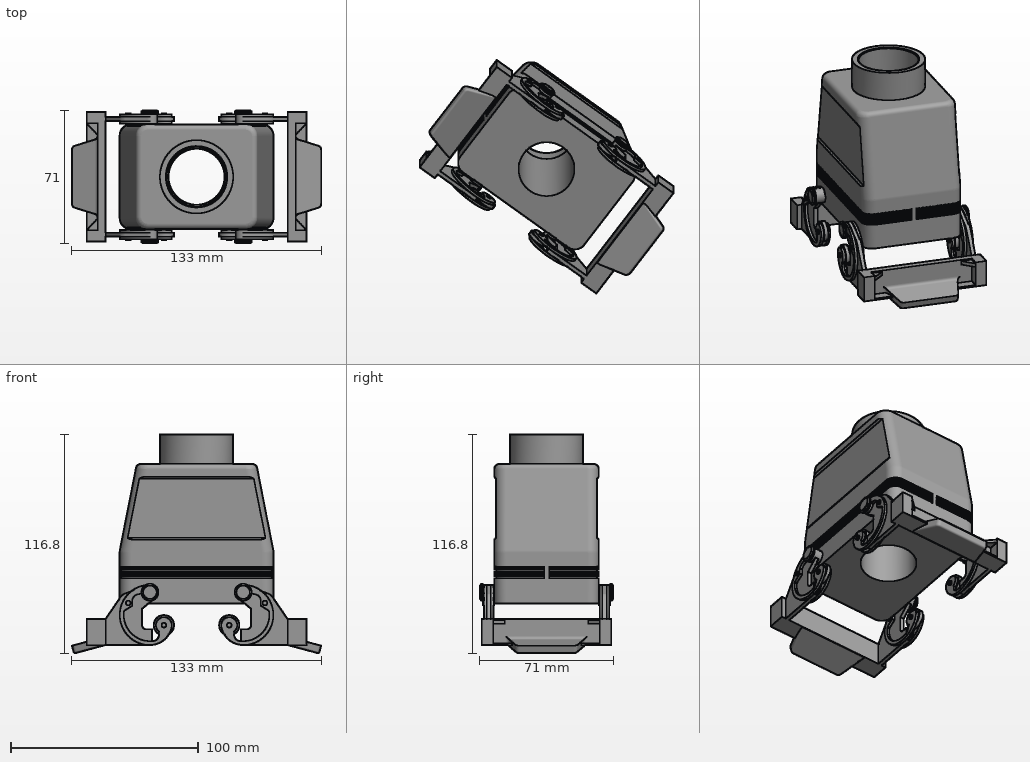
import cadquery as cq
import math


HOOD_HALF_X = 41.1
HOOD_HALF_Y = 28.0
HOOD_TOP_HALF_X = 32.0
HOOD_TOP_Z = 74.7
BEND_Z = 28.0
BEND_RADIUS = 5.6
CORNER_RADIUS = 6.1
TOP_FILLET = 2.9

PANEL_DEPTH = 0.9
PANEL_BOTTOM_Z = 34.2
PANEL_TOP_Z = 67.9
PANEL_BOTTOM_SLOPE = 0.9
PANEL_TOP_SLOPE = 1.2

GROOVE_COUNT = 4
GROOVE_PITCH = 1.7
GROOVE_WIDTH = 0.9
GROOVE_DEPTH = 1.0
LOWEST_GROOVE_Z = 13.7
GROOVE_BREAK_WIDTH = 2.7

COLLAR_TOP_Z = 90.4
COLLAR_RADIUS = 19.5
COLLAR_BORE_RADIUS = 16.0
COLLAR_BORE_CHAMFER = 0.47
BORE_RADIUS = 14.9
SEAT_Z = 75.8
SEAT_HEIGHT = 2.0

ARM_Y = 30.9
PLATE_THICKNESS = 2.3
CLIP_THICKNESS = 1.5
SMALL_PIN_LENGTH = 6.1
SMALL_PIN_RADIUS = 1.26

PIVOT_X = -24.9
PIVOT_Z = 6.1
PIVOT_RADIUS = 2.7
PIVOT_END_RADIUS = 4.0
PIVOT_SINK = 1.3
HEAD_RADIUS = 4.5
HEAD_FACE_RADIUS = 3.6
HEAD_BEVEL = 0.7
HEAD_BOTTOM_Y = 34.0
HEAD_TOP_Y = 35.5

PLATE_SINK = 1.3
SHOULDER_START = (-40.6, 3.6)
SHOULDER_MIDDLE = (-39.7, 4.5)
SHOULDER_END = (-38.5, 5.3)
CREST = (-26.6, 9.7)
NOTCH_MOUTH = (-22.4, 2.8)
NOTCH_X = -29.0
NOTCH_TOP_Z = -2.7
NOTCH_FLOOR_Z = -13.6
NOTCH_FILLET = 2.1
HEEL_X = -23.7
HEEL_LIFT = 0.3

LEVER_BOTTOM_Z = -22.1
CLIP_RADIUS = (PIVOT_Z + PIVOT_END_RADIUS - LEVER_BOTTOM_Z) / 2
CLIP_Z = LEVER_BOTTOM_Z + CLIP_RADIUS
CLIP_WIDTH = 2.1
HOOK_X = -17.4
HOOK_Z = -11.5
HOOK_RADIUS = 4.3
ROLLER_RADIUS = 5.5
THROAT_X = -23.4
THROAT_Z = -16.5
THROAT_RADIUS = 3.3
THROAT_END_ANGLE = math.radians(20)
LUG_X = -36.5
LUG_Z = 0.4
LUG_ARC_START = (-30.6, 5.2)
LUG_ARC_MIDDLE = (-33.1, 4.1)
LUG_EDGE_X = -34.2
LUG_EDGE_TOP_Z = 2.5
LUG_EDGE_BOTTOM_Z = -1.0
LUG_ROOT = (-38.5, -3.7)

BAR_OUTER_X = -58.7
BAR_INNER_X = -48.6
BAR_TOP_Z = -8.1
BAR_HALF_Y = 34.6
POCKET_DEPTH = 5.9
POCKET_WALL_X = BAR_OUTER_X + POCKET_DEPTH
POCKET_HALF_Y = 28.5
POCKET_FLOOR = 0.9
GUSSET_LEG_Y = 6.1
GUSSET_DROP = 0.7
GUSSET_THICKNESS = 2.0

TAB_TIP_X = -66.5
TAB_TIP_Z = -22.4
TAB_TILT = 15
TAB_THICKNESS = 4.4
TAB_LENGTH = 17.2
TAB_TIP_HALF_Y = 16.1
TAB_TAPER = 0.3
TAB_ROOT_HALF_Y = TAB_TIP_HALF_Y + TAB_TAPER * TAB_LENGTH
TAB_CORNER_RADIUS = 2.3
TAB_EDGE_FILLET = 1.0
TAB_ROOT_FILLET = 1.9

PICK_MARGIN = 0.1


def slab(outline, y_centre, thickness):
    """Extrude an XZ outline evenly about the given Y."""
    return outline.extrude(thickness).translate((0, y_centre + thickness / 2, 0))


def disc(x, z, radius, y_centre, thickness):
    return slab(cq.Workplane("XZ").center(x, z).circle(radius), y_centre, thickness)


def polar(x, z, radius, angle):
    return (x + radius * math.cos(angle), z + radius * math.sin(angle))


def both_ends(half):
    return half.union(half.mirror("YZ"))


def both_sides(half):
    return half.union(half.mirror("XZ"))


def hood_block():
    outline = (
        cq.Workplane("XZ")
        .moveTo(-HOOD_HALF_X, 0)
        .lineTo(-HOOD_HALF_X, BEND_Z)
        .lineTo(-HOOD_TOP_HALF_X, HOOD_TOP_Z)
        .lineTo(HOOD_TOP_HALF_X, HOOD_TOP_Z)
        .lineTo(HOOD_HALF_X, BEND_Z)
        .lineTo(HOOD_HALF_X, 0)
        .close()
    )
    block = slab(outline, 0, 2 * HOOD_HALF_Y)
    bend_edges = cq.selectors.BoxSelector(
        (-HOOD_HALF_X - PICK_MARGIN, -PICK_MARGIN, BEND_Z - PICK_MARGIN),
        (HOOD_HALF_X + PICK_MARGIN, PICK_MARGIN, BEND_Z + PICK_MARGIN),
    )
    block = block.edges("|Y").edges(bend_edges).fillet(BEND_RADIUS)
    block = block.faces("<Y or >Y").edges("not #Z").fillet(CORNER_RADIUS)
    return block.faces(">Z").edges().fillet(TOP_FILLET)


def side_panel():
    floor_y = HOOD_HALF_Y - PANEL_DEPTH
    return (
        cq.Workplane("YZ")
        .moveTo(HOOD_HALF_Y, PANEL_BOTTOM_Z)
        .lineTo(floor_y, PANEL_BOTTOM_Z + PANEL_BOTTOM_SLOPE)
        .lineTo(floor_y, PANEL_TOP_Z - PANEL_TOP_SLOPE)
        .lineTo(HOOD_HALF_Y, PANEL_TOP_Z)
        .close()
        .extrude(HOOD_HALF_X, both=True)
    )


def grip_groove(z):
    core = (
        cq.Workplane("XY", origin=(0, 0, z))
        .rect(2 * (HOOD_HALF_X - GROOVE_DEPTH), 2 * (HOOD_HALF_Y - GROOVE_DEPTH))
        .extrude(GROOVE_WIDTH)
        .edges("|Z")
        .fillet(CORNER_RADIUS - GROOVE_DEPTH)
    )
    end_break = (
        cq.Workplane("XY", origin=(0, 0, z))
        .rect(2 * HOOD_HALF_X, GROOVE_BREAK_WIDTH)
        .extrude(GROOVE_WIDTH)
    )
    ring = cq.Workplane("XY", origin=(0, 0, z)).rect(2 * HOOD_HALF_X, 2 * HOOD_HALF_Y).extrude(GROOVE_WIDTH)
    return ring.cut(core).cut(end_break)


def collar_bore():
    """Stepped through bore: chamfered mouth, conical seat, narrower passage below."""
    return (
        cq.Workplane("XZ")
        .lineTo(BORE_RADIUS, 0)
        .lineTo(BORE_RADIUS, SEAT_Z - SEAT_HEIGHT)
        .lineTo(COLLAR_BORE_RADIUS, SEAT_Z)
        .lineTo(COLLAR_BORE_RADIUS, COLLAR_TOP_Z - COLLAR_BORE_CHAMFER)
        .lineTo(COLLAR_BORE_RADIUS + COLLAR_BORE_CHAMFER, COLLAR_TOP_Z)
        .lineTo(0, COLLAR_TOP_Z)
        .close()
        .revolve(360, (0, 0, 0), (0, 1, 0))
    )


def hood():
    body = hood_block().cut(both_sides(side_panel()))
    for index in range(GROOVE_COUNT):
        body = body.cut(grip_groove(LOWEST_GROOVE_Z + index * GROOVE_PITCH))
    collar_base_z = HOOD_TOP_Z - TOP_FILLET
    collar = (
        cq.Workplane("XY", origin=(0, 0, collar_base_z))
        .circle(COLLAR_RADIUS)
        .extrude(COLLAR_TOP_Z - collar_base_z)
    )
    return body.union(collar).cut(collar_bore())


def arm_plate():
    """Flat arm from the cross bar up to the pivot, with an open notch facing the middle."""
    outline = (
        cq.Workplane("XZ")
        .moveTo(BAR_INNER_X - PLATE_SINK, LEVER_BOTTOM_Z)
        .lineTo(BAR_INNER_X - PLATE_SINK, BAR_TOP_Z)
        .lineTo(BAR_INNER_X, BAR_TOP_Z)
        .lineTo(*SHOULDER_START)
        .threePointArc(SHOULDER_MIDDLE, SHOULDER_END)
        .lineTo(*CREST)
        .lineTo(PIVOT_X, PIVOT_Z)
        .lineTo(*NOTCH_MOUTH)
        .lineTo(NOTCH_X, NOTCH_TOP_Z)
        .lineTo(NOTCH_X, NOTCH_FLOOR_Z + NOTCH_FILLET)
        .radiusArc((NOTCH_X + NOTCH_FILLET, NOTCH_FLOOR_Z), -NOTCH_FILLET)
        .lineTo(HEEL_X, NOTCH_FLOOR_Z)
        .lineTo(HEEL_X, LEVER_BOTTOM_Z + HEEL_LIFT)
        .lineTo(PIVOT_X, LEVER_BOTTOM_Z)
        .close()
    )
    plate = slab(outline, ARM_Y, PLATE_THICKNESS)
    return plate.union(disc(PIVOT_X, PIVOT_Z, PIVOT_END_RADIUS, ARM_Y, PLATE_THICKNESS))


def clip_arc():
    """Left half of the C-shaped clip."""
    ring = cq.Workplane("XZ").center(PIVOT_X, CLIP_Z).circle(CLIP_RADIUS).circle(CLIP_RADIUS - CLIP_WIDTH)
    left_half = (
        cq.Workplane("XZ")
        .center(PIVOT_X - CLIP_RADIUS / 2, CLIP_Z)
        .rect(CLIP_RADIUS, 2 * CLIP_RADIUS)
    )
    return slab(ring, 0, CLIP_THICKNESS).intersect(slab(left_half, 0, CLIP_THICKNESS))


def clip_lug():
    """Widening of the clip between the pivot and the upper small pin."""
    middle_radius = CLIP_RADIUS - CLIP_WIDTH / 2
    diagonal = middle_radius * math.sqrt(0.5)
    outline = (
        cq.Workplane("XZ")
        .moveTo(PIVOT_X, PIVOT_Z)
        .lineTo(*LUG_ARC_START)
        .threePointArc(LUG_ARC_MIDDLE, (LUG_EDGE_X, LUG_EDGE_TOP_Z))
        .lineTo(LUG_EDGE_X, LUG_EDGE_BOTTOM_Z)
        .lineTo(*LUG_ROOT)
        .lineTo(PIVOT_X - middle_radius, CLIP_Z)
        .threePointArc((PIVOT_X - diagonal, CLIP_Z + diagonal), (PIVOT_X, CLIP_Z + middle_radius))
        .close()
    )
    return slab(outline, 0, CLIP_THICKNESS)


def clip_hook():
    """Curl from the lowest point of the clip into a round end, tangent to both."""
    run = HOOK_X - PIVOT_X
    rise = HOOK_Z - LEVER_BOTTOM_Z
    tail_radius = (run**2 + rise**2 - HOOK_RADIUS**2) / (2 * (rise - HOOK_RADIUS))
    tail_z = LEVER_BOTTOM_Z + tail_radius

    def on_tail(angle):
        return polar(PIVOT_X, tail_z, tail_radius, angle)

    def on_throat(angle):
        return polar(THROAT_X, THROAT_Z, THROAT_RADIUS, angle)

    tail_end_angle = math.atan2(HOOK_Z - tail_z, run)
    tail_mid_angle = (tail_end_angle - math.pi / 2) / 2
    neck_x, neck_z = on_throat(THROAT_END_ANGLE)
    neck_angle = math.atan2(neck_z - HOOK_Z, neck_x - HOOK_X)
    outline = (
        cq.Workplane("XZ")
        .moveTo(PIVOT_X, LEVER_BOTTOM_Z)
        .threePointArc(on_tail(tail_mid_angle), on_tail(tail_end_angle))
        .threePointArc((HOOK_X, HOOK_Z + HOOK_RADIUS), polar(HOOK_X, HOOK_Z, HOOK_RADIUS, neck_angle))
        .lineTo(neck_x, neck_z)
        .threePointArc(on_throat(-math.pi / 4), on_throat(-math.pi / 2))
        .lineTo(PIVOT_X, LEVER_BOTTOM_Z + CLIP_WIDTH)
        .close()
    )
    return slab(outline, 0, CLIP_THICKNESS)


def clip():
    pivot_end = disc(PIVOT_X, PIVOT_Z, PIVOT_END_RADIUS, 0, CLIP_THICKNESS)
    return pivot_end.union(clip_arc()).union(clip_lug()).union(clip_hook())


def pivot_pin():
    root_y = HOOD_HALF_Y - PIVOT_SINK
    return (
        cq.Workplane("XY")
        .moveTo(0, root_y)
        .lineTo(PIVOT_RADIUS, root_y)
        .lineTo(PIVOT_RADIUS, HEAD_BOTTOM_Y)
        .lineTo(HEAD_RADIUS, HEAD_BOTTOM_Y)
        .lineTo(HEAD_RADIUS, HEAD_TOP_Y - HEAD_BEVEL)
        .lineTo(HEAD_FACE_RADIUS, HEAD_TOP_Y)
        .lineTo(0, HEAD_TOP_Y)
        .close()
        .revolve(360, (0, 0, 0), (0, 1, 0))
        .translate((PIVOT_X, 0, PIVOT_Z))
    )


def lever_arm():
    """Arm plate and roller held between two clips, with the pins that join them."""
    clip_offset = (PLATE_THICKNESS + CLIP_THICKNESS) / 2
    arm = arm_plate().union(disc(HOOK_X, HOOK_Z, ROLLER_RADIUS, ARM_Y, PLATE_THICKNESS))
    for y in (ARM_Y - clip_offset, ARM_Y + clip_offset):
        arm = arm.union(clip().translate((0, y, 0)))
    for x, z in ((HOOK_X, HOOK_Z), (LUG_X, LUG_Z)):
        arm = arm.union(disc(x, z, SMALL_PIN_RADIUS, ARM_Y, SMALL_PIN_LENGTH))
    return arm.union(pivot_pin())


def cross_bar():
    """Bar joining the two arms, hollowed from its outer and upper side."""
    bar = cq.Workplane("XY").box(
        BAR_INNER_X - BAR_OUTER_X, 2 * BAR_HALF_Y, BAR_TOP_Z - LEVER_BOTTOM_Z, centered=(False, True, False)
    )
    pocket = (
        cq.Workplane("XY")
        .box(POCKET_DEPTH, 2 * POCKET_HALF_Y, BAR_TOP_Z - LEVER_BOTTOM_Z, centered=(False, True, False))
        .translate((0, 0, POCKET_FLOOR))
    )
    bar = bar.cut(pocket).translate((BAR_OUTER_X, 0, LEVER_BOTTOM_Z))
    gusset = (
        cq.Workplane("XY", origin=(0, 0, BAR_TOP_Z - GUSSET_DROP))
        .moveTo(BAR_OUTER_X, POCKET_HALF_Y)
        .lineTo(POCKET_WALL_X, POCKET_HALF_Y)
        .lineTo(POCKET_WALL_X, POCKET_HALF_Y - GUSSET_LEG_Y)
        .close()
        .extrude(-GUSSET_THICKNESS)
    )
    return bar.union(both_sides(gusset))


def finger_tab():
    """Tapered plate tilted down and outward from the cross bar, reaching into its inner wall."""
    tab = (
        cq.Workplane("XY")
        .moveTo(0, -TAB_TIP_HALF_Y)
        .lineTo(TAB_LENGTH, -TAB_ROOT_HALF_Y)
        .lineTo(TAB_LENGTH, TAB_ROOT_HALF_Y)
        .lineTo(0, TAB_TIP_HALF_Y)
        .close()
        .extrude(-TAB_THICKNESS)
    )
    tab = tab.edges("|Z and <X").fillet(TAB_CORNER_RADIUS)
    tab = tab.faces("<Z").edges("not >X").fillet(TAB_EDGE_FILLET)
    return tab.rotate((0, 0, 0), (0, 1, 0), -TAB_TILT).translate((TAB_TIP_X, 0, TAB_TIP_Z))


def lever():
    bar = cross_bar().union(finger_tab())
    root_edges = cq.selectors.BoxSelector(
        (POCKET_WALL_X - PICK_MARGIN, -TAB_ROOT_HALF_Y, LEVER_BOTTOM_Z),
        (POCKET_WALL_X + PICK_MARGIN, TAB_ROOT_HALF_Y, BAR_TOP_Z),
        boundingbox=True,
    )
    bar = bar.edges(root_edges).fillet(TAB_ROOT_FILLET)
    return bar.union(both_sides(lever_arm()))


result = hood().union(both_ends(lever()))